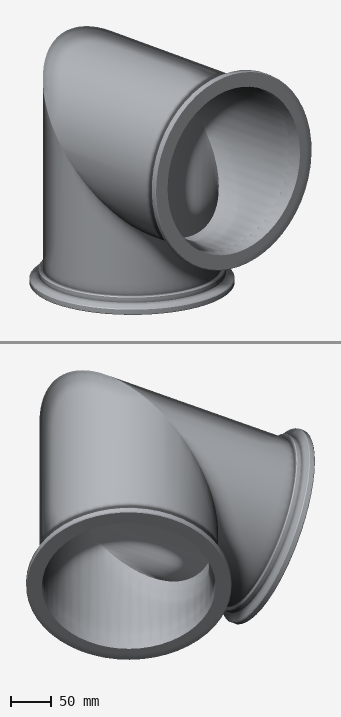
import cadquery as cq

pipe_diameter = 219.1
bore_diameter = 213.0
centre_to_face = 193.0

rim_diameter = 252.0
hub_diameter = 230.0
flange_thickness = 20.0
rim_thickness = 8.0
hub_length = 7.5
edge_chamfer = 1.0

leg_length = centre_to_face - flange_thickness


def make_pipe_elbow():
    """Pipe wall swept from the lower leg to the +X leg, with a sharp mitre at the corner."""
    centre_line = (
        cq.Workplane("XZ")
        .moveTo(0, -leg_length)
        .lineTo(0, 0)
        .lineTo(leg_length, 0)
    )
    pipe_section = (
        cq.Workplane("XY")
        .workplane(offset=-leg_length)
        .circle(pipe_diameter / 2)
        .circle(bore_diameter / 2)
    )
    return pipe_section.sweep(centre_line, transition="right")


def make_flange():
    """Flange with its sealing face on the XY plane and its hub pointing up."""
    bore_radius = bore_diameter / 2
    hub_radius = hub_diameter / 2
    rim_radius = rim_diameter / 2
    profile = (
        cq.Workplane("XZ")
        .moveTo(bore_radius, 0)
        .lineTo(rim_radius - edge_chamfer, 0)
        .lineTo(rim_radius, edge_chamfer)
        .lineTo(rim_radius, rim_thickness - edge_chamfer)
        .lineTo(rim_radius - edge_chamfer, rim_thickness)
        .lineTo(hub_radius, flange_thickness - hub_length)
        .lineTo(hub_radius, flange_thickness - edge_chamfer)
        .lineTo(hub_radius - edge_chamfer, flange_thickness)
        .lineTo(bore_radius, flange_thickness)
        .close()
    )
    return profile.revolve(360, (0, 0, 0), (0, 1, 0))


pipe_elbow = make_pipe_elbow()

flanges = [
    make_flange().translate((0, 0, -centre_to_face)).rotate((0, 0, 0), (0, 1, 0), turn)
    for turn in (0, -90)
]

result = cq.Compound.makeCompound([pipe_elbow.solids().val(), *[flange.val() for flange in flanges]])